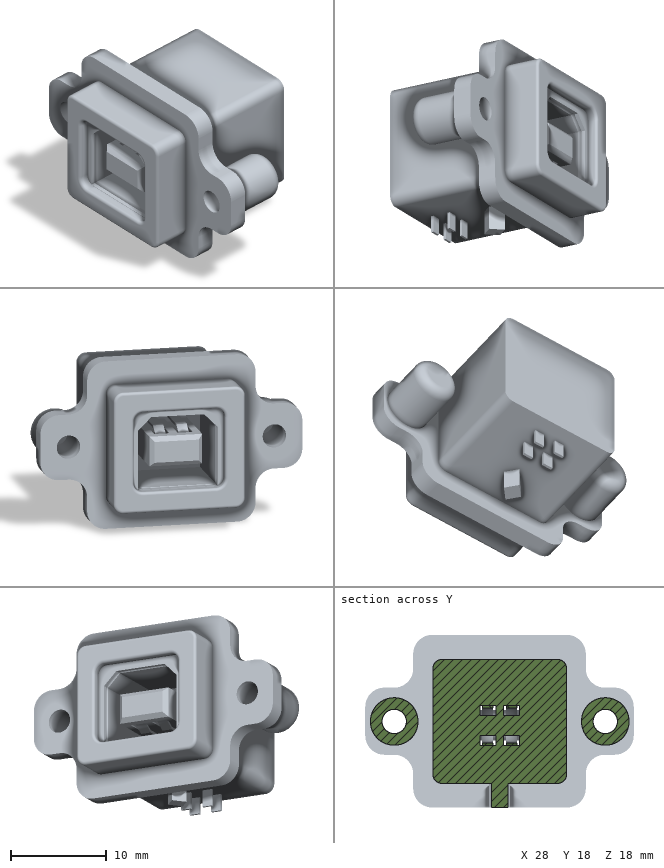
import cadquery as cq


edge_radius = 0.3
corner_radius = 1.0
overlap = 0.28

shell_width = 14.0
shell_height = 13.0
shell_length = 18.0

flange_length = 28.0
flange_height = 18.0
ear_height = 7.0
flange_radius = 2.0
flange_front = 4.0
flange_thickness = 2.0
flange_rear = flange_front + flange_thickness

post_spacing = 22.0
post_diameter = 5.0
post_length = 5.75
screw_hole_diameter = 2.5
screw_hole_depth = 6.0

opening_width = 9.8
opening_height = 8.6
opening_depth = 1.05

cavity_width = 8.5
cavity_top = 3.5
cavity_bottom = -4.25
cavity_key = 1.43
cavity_depth = 9.25
groove_front = 1.48
groove_size = 0.42

tongue_width = 5.65
tongue_height = 3.2
tongue_centre_z = -0.42
tongue_front = 1.45
tongue_chamfer = 0.48

contact_pitch = 2.5
contact_width = 1.12
contact_thickness = 0.28
contact_rise = 0.48
contact_slope_run = 1.6
slot_width = 1.62
slot_front = 2.97
slot_depth = 0.5
slot_pocket = 0.5
contact_front_gap = 0.17
upper_pin_y = 16.0
lower_pin_y = 14.0
pin_bottom = -8.3

peg_y = 9.5
peg_length = 2.5
peg_width = 2.18
peg_bottom = -flange_height / 2


def along_y(y_start):
    """Workplane across Y, with local Y up; negative extrusion runs rearward."""
    return cq.Workplane("XZ", origin=(0, y_start, 0))


def block(width, height, y_start, y_end, centre_z=0.0):
    """Box centred on X, between two Y positions."""
    length = y_end - y_start
    return cq.Workplane("XY").box(width, length, height).translate((0, y_start + length / 2, centre_z))


def make_shell():
    shell = block(shell_width, shell_height, 0, shell_length).edges("|Y").fillet(corner_radius)
    return shell.faces("<Y").edges().fillet(edge_radius)


def make_flange():
    plate = block(flange_height, flange_height, flange_front, flange_rear)
    ears = block(flange_length, ear_height, flange_front, flange_rear)
    return plate.union(ears).edges("|Y").fillet(flange_radius)


def make_posts():
    post_start = flange_rear - overlap
    posts = (
        along_y(post_start)
        .rarray(post_spacing, 0.28, 2, 1)
        .circle(post_diameter / 2)
        .extrude(-(post_length + overlap))
    )
    return posts.faces(">Y").edges().fillet(corner_radius)


def make_screw_holes():
    return (
        along_y(flange_front)
        .rarray(post_spacing, 0.28, 2, 1)
        .circle(screw_hole_diameter / 2)
        .extrude(-screw_hole_depth)
    )


def make_peg():
    top = -shell_height / 2 + overlap
    return (
        cq.Workplane("XY", origin=(0, peg_y, peg_bottom))
        .polyline(
            [(-peg_width / 2, 0), (0, -peg_length / 2), (peg_width / 2, 0), (0, peg_length / 2)]
        )
        .close()
        .extrude(top - peg_bottom)
    )


def make_opening():
    return block(opening_width, opening_height, 0, opening_depth).edges("|Y").fillet(corner_radius)


def cavity_outline(plane, growth=0.0):
    """Keyed plug outline, grown outward by the given amount on its straight sides."""
    half = cavity_width / 2 + growth
    top = cavity_top + growth
    bottom = cavity_bottom - growth
    return plane.polyline(
        [
            (-half, bottom),
            (half, bottom),
            (half, top - cavity_key),
            (half - cavity_key, top),
            (-half + cavity_key, top),
            (-half, top - cavity_key),
        ]
    ).close()


def make_cavity():
    """Keyed cavity with a V-shaped groove around it, tapering back to the cavity walls."""
    cavity = cavity_outline(along_y(opening_depth)).extrude(opening_depth - cavity_depth)
    groove = cavity_outline(along_y(groove_front), groove_size).workplane(offset=-groove_size)
    groove = cavity_outline(groove).loft()
    return cavity.union(groove)


def make_tongue():
    tongue = block(tongue_width, tongue_height, tongue_front, cavity_depth + overlap, tongue_centre_z)
    return tongue.faces("<Y").edges().chamfer(tongue_chamfer)


def make_slot(x, side):
    """Clearance around one contact; side is +1 above the tongue and -1 below it."""
    face_z = tongue_height / 2
    height = contact_rise + slot_depth
    centre_z = tongue_centre_z + side * (face_z + contact_rise - height / 2)
    return block(slot_width, height, slot_front, cavity_depth + slot_pocket, centre_z).translate((x, 0, 0))


def make_contact(x, side, pin_y):
    """Bent strip: sloped nose, straight beam through the rear wall, pin going down."""
    outer = tongue_height / 2 + contact_rise
    nose = tongue_height / 2 - slot_depth
    nose_y = slot_front + contact_front_gap
    slope_end_y = nose_y + contact_slope_run
    half = contact_thickness / 2

    def level(height):
        return tongue_centre_z + side * height

    beam = (
        cq.Workplane("YZ")
        .polyline(
            [
                (nose_y, level(nose)),
                (slope_end_y, level(outer)),
                (pin_y + half, level(outer)),
                (pin_y + half, level(outer - contact_thickness)),
                (slope_end_y, level(outer - contact_thickness)),
                (nose_y + contact_slope_run * contact_thickness / (outer - nose), level(nose)),
            ]
        )
        .close()
        .extrude(contact_width / 2, both=True)
    )
    pin_top = level(outer)
    pin = cq.Workplane("XY").box(contact_width, contact_thickness, pin_top - pin_bottom)
    pin = pin.translate((0, pin_y, (pin_top + pin_bottom) / 2))
    return beam.union(pin).translate((x, 0, 0))


contact_places = [
    (x, side, pin_y)
    for x in (-contact_pitch / 2, contact_pitch / 2)
    for side, pin_y in ((1, upper_pin_y), (-1, lower_pin_y))
]
contacts = [make_contact(*place) for place in contact_places]

housing = make_shell().union(make_flange()).union(make_posts()).union(make_peg())
housing = housing.cut(make_screw_holes()).cut(make_opening()).cut(make_cavity())
housing = housing.union(make_tongue())
half_opening = cq.Vector(opening_width / 2 + overlap, overlap, opening_height / 2 + overlap)
opening_edges = cq.selectors.BoxSelector((-half_opening).toTuple(), half_opening.toTuple())
housing = housing.edges(opening_edges).fillet(edge_radius)
for x, side, pin_y in contact_places:
    housing = housing.cut(make_slot(x, side))
for contact in contacts:
    housing = housing.cut(contact)

result = cq.Compound.makeCompound([housing.val(), *[contact.val() for contact in contacts]])